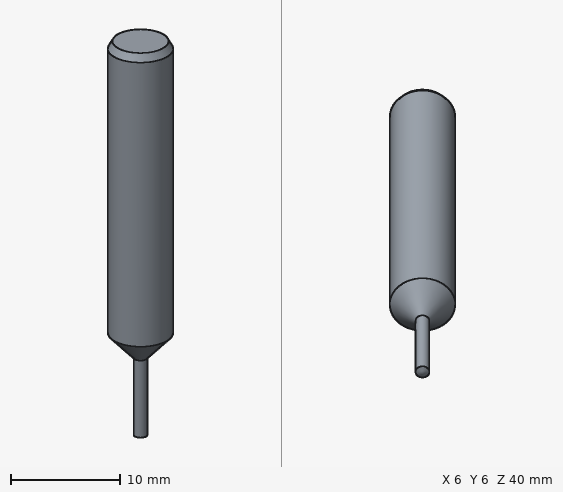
import cadquery as cq

total_length = 40.0
shank_diameter = 6.0

top_face_diameter = 5.1
chamfer_height = 0.75
cone_height = 2.5

cutter_diameter = 1.3
cutter_length = 8.0
tip_height = 0.2

shank_radius = shank_diameter / 2
top_face_radius = top_face_diameter / 2
cutter_radius = cutter_diameter / 2
cone_top = cutter_length + cone_height
chamfer_bottom = total_length - chamfer_height


def revolve_profile(points):
    """Revolve a closed (radius, height) outline about the Z axis."""
    return cq.Workplane("XZ").polyline(points).close().revolve(360, (0, 0), (0, 1))


def make_shank():
    """Round shank that tapers to the cutter diameter at its lower end."""
    return revolve_profile([
        (0, cutter_length),
        (cutter_radius, cutter_length),
        (shank_radius, cone_top),
        (shank_radius, chamfer_bottom),
        (top_face_radius, total_length),
        (0, total_length),
    ])


def make_cutter():
    """Pointed cutter that butts against the small end of the shank cone."""
    return revolve_profile([
        (0, 0),
        (cutter_radius, tip_height),
        (cutter_radius, cutter_length),
        (0, cutter_length),
    ])


shank = make_shank()
cutter = make_cutter()

result = cq.Compound.makeCompound([shank.val(), cutter.val()])